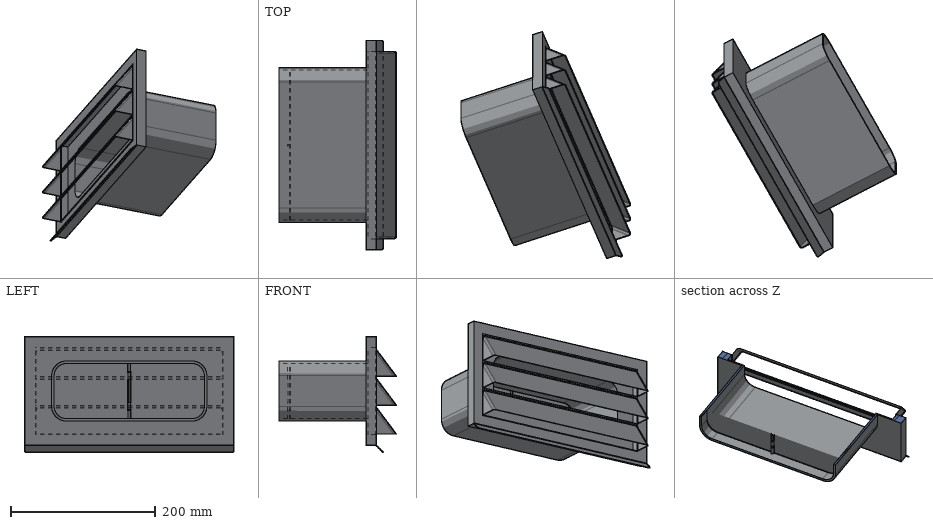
import cadquery as cq
import math

total_length = 163.0
sheet = 1.02

box_start = 120.5
box_depth = 14.2
box_width = 290.0
box_height = 150.8
box_border = 15.0
box_back_wall = 3.0
box_front = box_start + box_depth

duct_width = 215.0
duct_height = 83.2
duct_corner = 20.3
duct_wall = 3.5

hood_count = 3
hood_width = box_width - 2 * box_border
hood_height = 37.7
hood_pitch = 40.0
hood_lowest = -59.7
hood_round = 3.2
hood_reach = total_length - box_front

lip_drop = 10.0
lip_corner = 3.0
lip_angle = 45.0

flap_recess = 14.8
slot_half_width = 2.3
knuckle_radius = 2.0
pin_radius = 1.2
outer_knuckle_inner_end = 27.3
inner_knuckle_outer_end = 25.5
inner_knuckle_inner_end = 15.7
hinge_x = flap_recess + sheet - knuckle_radius
bore_width = duct_width - 2 * duct_wall
bore_height = duct_height - 2 * duct_wall
bore_corner = duct_corner - duct_wall


def block(x_start, x_end, y_start, y_end, z_start, z_end):
    """Box between two opposite corners."""
    size = (x_end - x_start, y_end - y_start, z_end - z_start)
    return cq.Workplane("XY").box(*size, centered=False).translate((x_start, y_start, z_start))


def rounded_bar(x_start, x_end, width, height, corner):
    """Bar along X with a rounded rectangular section."""
    bar = cq.Workplane("YZ", origin=(x_start, 0, 0)).rect(width, height).extrude(x_end - x_start)
    return bar.edges("|X").fillet(corner)


def bored_wall_box():
    """Duct and wall box, bored through to a chamber closed by the front cover."""
    duct = rounded_bar(0, box_start, duct_width, duct_height, duct_corner)
    box = block(box_start, box_front, -box_width / 2, box_width / 2, -box_height / 2, box_height / 2)
    chamber_y = box_width / 2 - box_border
    chamber_z = box_height / 2 - box_border
    chamber_back = box_start + box_back_wall
    chamber = block(chamber_back, box_front - sheet, -chamber_y, chamber_y, -chamber_z, chamber_z)
    bore = rounded_bar(0, chamber_back, bore_width, bore_height, bore_corner)
    return duct.union(box).cut(chamber).cut(bore)


def hood_wedge(x_start, height, reach, width, rounding):
    """Wedge with an upright back, a level underside and a rounded slope."""
    wedge = (
        cq.Workplane("XZ", origin=(x_start, width / 2, 0))
        .polyline([(0, 0), (reach, 0), (0, height)])
        .close()
        .extrude(width)
    )
    slope_ends = wedge.faces("|Y").edges("not(|X or |Z)")
    return slope_ends.fillet(rounding)


def add_hoods(body):
    """Louver hoods, open below and towards the chamber."""
    slope_length = math.hypot(hood_height, hood_reach)
    inner_height = hood_height - sheet * slope_length / hood_reach
    inner_reach = hood_reach * inner_height / hood_height
    inner_width = hood_width - 2 * sheet
    outer = hood_wedge(box_front, hood_height, hood_reach, hood_width, hood_round)
    inner = hood_wedge(box_front, inner_height, inner_reach, inner_width, hood_round - sheet)
    opening = block(box_front - sheet, box_front, -inner_width / 2, inner_width / 2, 0, inner_height)
    for index in range(hood_count):
        lift = (0, 0, hood_lowest + index * hood_pitch)
        body = body.union(outer.translate(lift)).cut(inner.translate(lift)).cut(opening.translate(lift))
    return body


def drip_lip():
    """Thin strip sloping out from the lower front edge, with rounded free corners."""
    tilt = math.radians(lip_angle)
    free_length = (lip_drop - sheet / 2 * math.cos(tilt)) / math.sin(tilt)
    root_length = sheet
    strip = block(-root_length, free_length, -box_width / 2, box_width / 2, -sheet / 2, sheet / 2)
    strip = strip.edges("|Z and >X").fillet(lip_corner)
    strip = strip.rotate((0, 0, 0), (0, 1, 0), lip_angle)
    return strip.translate((box_front, 0, -box_height / 2))


def hinge_cylinder(radius, z_start, z_end):
    """Upright length of the hinge."""
    return cq.Workplane("XY", origin=(hinge_x, 0, z_start)).circle(radius).extrude(z_end - z_start)


def flaps():
    """Two flat flaps filling the bore, with knuckles alternating along the pin."""
    plate = rounded_bar(flap_recess, flap_recess + sheet, bore_width, bore_height, bore_corner)
    half_height = bore_height / 2
    slot = block(
        flap_recess, flap_recess + sheet, -slot_half_width, slot_half_width, -half_height, half_height
    )
    hinge = hinge_cylinder(pin_radius, -half_height, half_height)
    knuckles = [
        (outer_knuckle_inner_end, half_height, -1),
        (inner_knuckle_inner_end, inner_knuckle_outer_end, 1),
        (-inner_knuckle_outer_end, -inner_knuckle_inner_end, -1),
        (-half_height, -outer_knuckle_inner_end, 1),
    ]
    for z_start, z_end, side in knuckles:
        y_start, y_end = sorted((0, side * slot_half_width))
        arm = block(flap_recess, flap_recess + sheet, y_start, y_end, z_start, z_end)
        hinge = hinge.union(hinge_cylinder(knuckle_radius, z_start, z_end)).union(arm)
    return plate.cut(slot).union(hinge)


result = add_hoods(bored_wall_box()).union(drip_lip()).union(flaps())